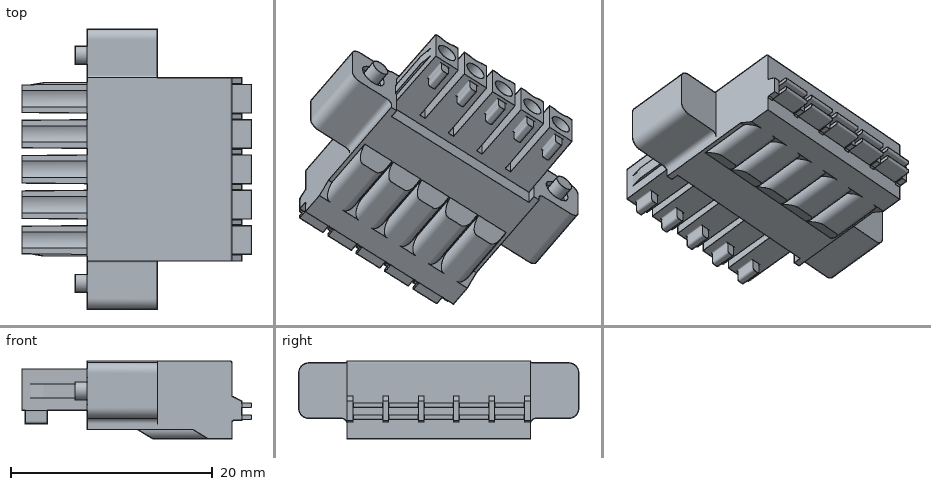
import cadquery as cq


body_length = 14.37
body_width = 18.2
body_height = 7.75
underside_z = 0.92
foot_slope_run = 1.53
foot_slope_x = 10.5
rear_edge_radius = 0.22

pole_count = 5
pole_pitch = 3.5
axis_z = 4.75
pole_positions = [(i - (pole_count - 1) / 2) * pole_pitch for i in range(pole_count)]

flange_length = 6.98
flange_span = 27.8
flange_top_z = 7.55
flange_bottom_z = 2.03
flange_radius = 1.03
flange_root_top = body_height - flange_top_z
flange_root_bottom = 0.53

pin_spacing = 22.63
pin_diameter = 1.8
pin_projection = 1.2
pin_well_diameter = 2.65
pin_well_depth = 0.55

finger_length = 6.48
finger_tip_width = 2.75
finger_root_width = 2.85
finger_bottom_z = 2.84
finger_top_z = 6.95
groove_width = 1.6
groove_depth = 0.2
socket_bore_diameter = 2.08
socket_end_diameter = 1.15
socket_bore_depth = 1.1
socket_cone_depth = 0.33

key_width = 0.8
key_start_x = -6.15
key_length = 2.2
key_bottom_z = 1.5
key_edge_radius = 0.25
key_root_radius = 0.15

rib_start_x = -5.65
rib_full_x = -4.28
rib_height = 1.42
rib_outer_y = 8.62

recess_width = 16.9
recess_depth = 0.83

lobe_width = 3.35
lobe_radius = 0.9
lobe_start_x = 5.0

ledge_end_x = 15.35
ledge_top_z = 4.25
ledge_edge_z = 3.75
ledge_bottom_z = 1.83
ledge_bottom_drop = 0.15
tab_width = 2.85
tab_clearance = 0.05
tab_end_x = 16.32
tab_thickness = 0.47
tab_bottom_zs = (1.92, 3.1)
tab_edge_radius = 0.15


def block(x0, x1, width, z0, z1, y=0):
    """Box between two X and two Z values, centred on y."""
    return cq.Workplane("XY").box(x1 - x0, width, z1 - z0, centered=(False, True, False)).translate((x0, y, z0))


def side_profile(points, width, y=0):
    """Outline in XZ given thickness along Y, centred on y."""
    return cq.Workplane("XZ").polyline(points).close().extrude(width / 2, both=True).translate((0, y, 0))


def x_cylinder(x0, x1, diameter, y, z):
    """Cylinder along X."""
    return cq.Workplane("YZ", origin=(x0, y, z)).circle(diameter / 2).extrude(x1 - x0)


def concave_root(x, length, wall_y, floor_z, radius, side, up):
    """Fillet along X in the corner of a wall and a floor; side and up (+1 or -1) point into the open corner."""
    return (
        cq.Workplane("YZ", origin=(x, 0, 0))
        .moveTo(wall_y, floor_z)
        .lineTo(wall_y + side * radius, floor_z)
        .radiusArc((wall_y, floor_z + up * radius), side * up * radius)
        .close()
        .extrude(length)
    )


def make_body():
    points = [
        (0, underside_z),
        (foot_slope_x, underside_z),
        (foot_slope_x + foot_slope_run, 0),
        (body_length, 0),
        (body_length, body_height),
        (0, body_height),
    ]
    return side_profile(points, body_width).edges("|Y and >X and >Z").fillet(rear_edge_radius)


def make_lobe(y):
    points = [
        (lobe_start_x, underside_z),
        (lobe_start_x + foot_slope_run, 0),
        (foot_slope_x + foot_slope_run, 0),
        (foot_slope_x, underside_z),
    ]
    rounded = block(lobe_start_x, body_length, lobe_width, 0, 2 * lobe_radius + underside_z, y)
    rounded = rounded.edges("|X and <Z").fillet(lobe_radius)
    return side_profile(points, lobe_width, y).intersect(rounded)


def make_flanges():
    flange = block(0, flange_length, flange_span, flange_bottom_z, flange_top_z).edges("|X").fillet(flange_radius)
    for side in (-1, 1):
        wall_y = side * body_width / 2
        flange = flange.union(concave_root(0, flange_length, wall_y, flange_top_z, flange_root_top, side, 1))
        flange = flange.union(concave_root(0, flange_length, wall_y, flange_bottom_z, flange_root_bottom, side, -1))
    return flange


def make_finger(y):
    finger = (
        cq.Workplane("XY", origin=(0, y, finger_bottom_z))
        .polyline([
            (-finger_length, -finger_tip_width / 2),
            (0, -finger_root_width / 2),
            (0, finger_root_width / 2),
            (-finger_length, finger_tip_width / 2),
        ])
        .close()
        .extrude(finger_top_z - finger_bottom_z)
    )
    groove_radius = (groove_width ** 2 / 4 + groove_depth ** 2) / (2 * groove_depth)
    groove_axis_z = finger_top_z - groove_depth + groove_radius
    groove = x_cylinder(-finger_length, 0, 2 * groove_radius, y, groove_axis_z)
    bore_end_x = -finger_length + socket_bore_depth
    bore = x_cylinder(-finger_length, bore_end_x, socket_bore_diameter, y, axis_z)
    cone = (
        cq.Workplane("YZ", origin=(bore_end_x, y, axis_z))
        .circle(socket_bore_diameter / 2)
        .workplane(offset=socket_cone_depth)
        .circle(socket_end_diameter / 2)
        .loft()
    )
    key = block(key_start_x, key_start_x + key_length, key_width, key_bottom_z, finger_bottom_z, y)
    key = key.edges("|X and <Z").fillet(key_edge_radius)
    finger = finger.cut(groove).cut(bore).cut(cone).union(key)
    for side in (-1, 1):
        key_side_y = y + side * key_width / 2
        finger = finger.union(
            concave_root(key_start_x, key_length, key_side_y, finger_bottom_z, key_root_radius, side, -1)
        )
    return finger


def make_guide_rib(sign):
    finger_side_y = pole_positions[-1] + finger_tip_width / 2
    points = [
        (rib_start_x, finger_side_y),
        (rib_full_x, rib_outer_y),
        (0, rib_outer_y),
        (0, finger_side_y),
    ]
    points = [(x, sign * y) for x, y in points]
    return cq.Workplane("XY", origin=(0, 0, axis_z)).polyline(points).close().extrude(rib_height / 2, both=True)


def make_ledge():
    points = [
        (body_length, ledge_bottom_z - ledge_bottom_drop),
        (body_length + ledge_bottom_drop, ledge_bottom_z),
        (ledge_end_x, ledge_bottom_z),
        (ledge_end_x, ledge_edge_z),
        (body_length, ledge_top_z),
    ]
    ledge = side_profile(points, body_width)
    slot_width = tab_width + 2 * tab_clearance
    for y in pole_positions:
        ledge = ledge.cut(block(body_length, ledge_end_x, slot_width, 0, body_height, y))
    return ledge


def make_tab(y, z):
    tab = block(body_length, tab_end_x, tab_width, z, z + tab_thickness, y)
    return tab.edges("|Y and >X").fillet(tab_edge_radius)


result = make_body().union(make_flanges()).union(make_ledge())
result = result.cut(block(0, recess_depth, recess_width, underside_z, finger_bottom_z))
for pole_y in pole_positions:
    result = result.union(make_lobe(pole_y)).union(make_finger(pole_y))
    for tab_z in tab_bottom_zs:
        result = result.union(make_tab(pole_y, tab_z))
result = result.union(make_guide_rib(1)).union(make_guide_rib(-1))

for pin_y in (-pin_spacing / 2, pin_spacing / 2):
    result = result.cut(x_cylinder(0, pin_well_depth, pin_well_diameter, pin_y, axis_z))
    result = result.union(x_cylinder(-pin_projection, pin_well_depth, pin_diameter, pin_y, axis_z))